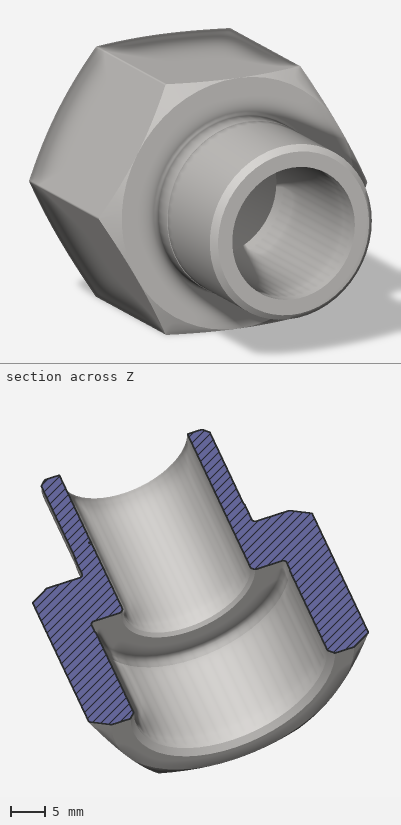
import cadquery as cq
import math

HEX_SIDES = 6
HEX_HALF_SECTOR = 180.0 / HEX_SIDES
ACROSS_FLATS = 38.0
ACROSS_CORNERS = 43.78
HEX_LENGTH = 26.0
TOTAL_LENGTH = 44.0
HEX_CHAMFER_ANGLE = 30.0

SPIGOT_DIAMETER = 26.44
COLLAR_DIAMETER = 26.64
COLLAR_LENGTH = 3.4
SPIGOT_CHAMFER = 0.9

BORE_DIAMETER = 30.29
BORE_RELIEF_DIAMETER = 30.49
BORE_MOUTH_DIAMETER = 32.0
MOUTH_CHAMFER_ANGLE = 45.0
BORE_DEPTH = 18.0
BORE_RELIEF_LENGTH = 1.8

PASSAGE_DIAMETER = 20.0
PASSAGE_CHAMFER = 0.5

ROOT_FILLET = 0.5

FILLET_MID_OFFSET = ROOT_FILLET * (1 - math.sqrt(0.5))


def revolve_about_x(profile):
    """Close a half profile drawn above the X axis and turn it fully about that axis."""
    return profile.close().revolve(360, (0, 0, 0), (1, 0, 0))


def hex_body():
    """Hexagonal prism with two flats facing +Z and -Z and both ends chamfered by a cone."""
    corner_ratio = 1 / math.cos(math.radians(HEX_HALF_SECTOR))
    sharp_corners = ACROSS_FLATS * corner_ratio
    corner_radius = (sharp_corners - ACROSS_CORNERS) / 2 / (corner_ratio - 1)
    prism = (
        cq.Workplane("YZ")
        .polygon(HEX_SIDES, sharp_corners)
        .extrude(HEX_LENGTH)
        .edges("|X")
        .fillet(corner_radius)
    )
    face_radius = ACROSS_FLATS / 2
    rim_radius = sharp_corners / 2
    chamfer_length = (rim_radius - face_radius) * math.tan(math.radians(HEX_CHAMFER_ANGLE))
    envelope = revolve_about_x(
        cq.Workplane("XY")
        .moveTo(0, 0)
        .lineTo(0, face_radius)
        .lineTo(chamfer_length, rim_radius)
        .lineTo(HEX_LENGTH - chamfer_length, rim_radius)
        .lineTo(HEX_LENGTH, face_radius)
        .lineTo(HEX_LENGTH, 0)
    )
    return prism.intersect(envelope)


def spigot():
    """Male end: filleted root, slightly larger collar, plain cylinder and end chamfer."""
    outer = SPIGOT_DIAMETER / 2
    collar = COLLAR_DIAMETER / 2
    collar_end = HEX_LENGTH + COLLAR_LENGTH
    return revolve_about_x(
        cq.Workplane("XY")
        .moveTo(HEX_LENGTH, 0)
        .lineTo(HEX_LENGTH, collar + ROOT_FILLET)
        .threePointArc(
            (HEX_LENGTH + FILLET_MID_OFFSET, collar + FILLET_MID_OFFSET),
            (HEX_LENGTH + ROOT_FILLET, collar),
        )
        .lineTo(collar_end, collar)
        .lineTo(collar_end, outer)
        .lineTo(TOTAL_LENGTH - SPIGOT_CHAMFER, outer)
        .lineTo(TOTAL_LENGTH, outer - SPIGOT_CHAMFER)
        .lineTo(TOTAL_LENGTH, 0)
    )


def bore():
    """Female end: chamfered mouth, plain cylinder, slightly wider relief and filleted floor."""
    wall = BORE_DIAMETER / 2
    mouth = BORE_MOUTH_DIAMETER / 2
    relief = BORE_RELIEF_DIAMETER / 2
    mouth_depth = (mouth - wall) / math.tan(math.radians(MOUTH_CHAMFER_ANGLE))
    relief_start = BORE_DEPTH - BORE_RELIEF_LENGTH
    return revolve_about_x(
        cq.Workplane("XY")
        .moveTo(0, 0)
        .lineTo(0, mouth)
        .lineTo(mouth_depth, wall)
        .lineTo(relief_start, wall)
        .lineTo(relief_start, relief)
        .lineTo(BORE_DEPTH - ROOT_FILLET, relief)
        .threePointArc(
            (BORE_DEPTH - FILLET_MID_OFFSET, relief - FILLET_MID_OFFSET),
            (BORE_DEPTH, relief - ROOT_FILLET),
        )
        .lineTo(BORE_DEPTH, 0)
    )


def passage():
    """Through hole with a chamfer where it meets the bore floor."""
    radius = PASSAGE_DIAMETER / 2
    return revolve_about_x(
        cq.Workplane("XY")
        .moveTo(BORE_DEPTH, 0)
        .lineTo(BORE_DEPTH, radius + PASSAGE_CHAMFER)
        .lineTo(BORE_DEPTH + PASSAGE_CHAMFER, radius)
        .lineTo(TOTAL_LENGTH, radius)
        .lineTo(TOTAL_LENGTH, 0)
    )


result = hex_body().union(spigot()).cut(bore()).cut(passage())